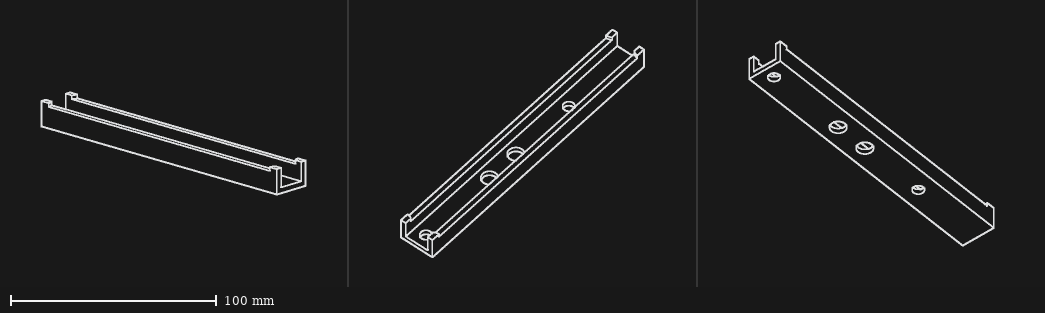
import cadquery as cq

length = 160.0
width = 20.0
height = 13.0
wall = 3.0
floor = 3.0

tab_height = 2.0
tab_radius = 5.0
rail_height = height - tab_height

small_hole = 6.0
large_hole = 8.5
first_hole_from_end = 7.0
first_to_second = 48.0
second_to_third = 20.0
third_to_fourth = 40.0

first_x = -length / 2 + first_hole_from_end
second_x = first_x + first_to_second
third_x = second_x + second_to_third
fourth_x = third_x + third_to_fourth


def block(top):
    return cq.Workplane("XY").box(length, width, top, centered=(True, True, False))


def corner_tabs():
    """Cylinders about the outer corners, trimmed to the block outline."""
    cylinders = (
        cq.Workplane("XY")
        .workplane(offset=rail_height)
        .rect(length, width, forConstruction=True)
        .vertices()
        .circle(tab_radius)
        .extrude(tab_height)
    )
    return cylinders.intersect(block(height))


def channel_cavity():
    """Open-ended space between the side walls, above the floor."""
    return (
        cq.Workplane("XY")
        .workplane(offset=floor)
        .rect(length, width - 2 * wall)
        .extrude(height - floor)
    )


def floor_holes(diameter, centres_x):
    return (
        cq.Workplane("XY")
        .pushPoints([(x, 0) for x in centres_x])
        .circle(diameter / 2)
        .extrude(floor)
    )


result = (
    block(rail_height)
    .union(corner_tabs())
    .cut(channel_cavity())
    .cut(floor_holes(small_hole, [first_x, fourth_x]))
    .cut(floor_holes(large_hole, [second_x, third_x]))
)